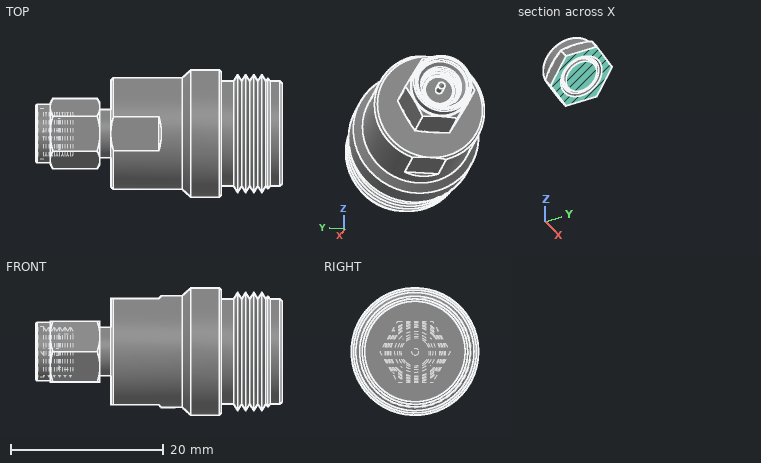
import cadquery as cq
import math


millimetres_per_inch = 25.4

nut_hex_start = 1.9
nut_end = 8.45
body_start = 9.87
body_end = 19.25
flange_start = 20.4
flange_end = 24.4
thread_start = 26.0
total_length = 32.4

nose_radius = 3.86
nose_chamfer = 0.2
stem_radius = 3.2
body_radius = 7.35
body_chamfer = 0.35
flange_diameter = 16.75
flange_radius = flange_diameter / 2
flange_chamfer = 0.3
barrel_radius = 6.92
barrel_chamfer = 0.32

barrel_threads_per_inch = 24
barrel_pitch = millimetres_per_inch / barrel_threads_per_inch
barrel_ridge_count = 4
barrel_crest_radius = 7.76
runout_width = 0.55
runout_crest_radius = 7.27

hex_across_flats = 8.0
hex_chamfer_angle = 30
hex_corner_radius = hex_across_flats / math.sqrt(3)
hex_face_radius = hex_across_flats / 2

flat_height = 7.0
flat_length = 6.3

mouth_radius = 3.5
mouth_lead_in = 0.3
bore_radius = 3.3
nut_thread_start = 1.0
nut_threads_per_inch = 36
nut_pitch = millimetres_per_inch / nut_threads_per_inch
nut_groove_count = 5
nut_crest_radius = 2.7
sleeve_radius = 2.33
insulator_radius = 2.04
insulator_chamfer = 0.2
plug_face = 3.0
pin_radius = 0.46
pin_tip_start = 0.65
pin_tip_length = 0.4


def revolve_about_x(points):
    """Solid of revolution of an (x, radius) outline around the X axis."""
    return cq.Workplane("XY").polyline(points).close().revolve(360, (0, 0, 0), (1, 0, 0))


def make_outer_shape():
    """Turned outside of the whole adapter, including the barrel thread ridges."""
    outline = [
        (0, 0),
        (0, nose_radius - nose_chamfer),
        (nose_chamfer, nose_radius),
        (nut_end, nose_radius),
        (nut_end, stem_radius),
        (body_start, stem_radius),
        (body_start, body_radius - body_chamfer),
        (body_start + body_chamfer, body_radius),
        (body_end, body_radius),
        (flange_start, flange_radius),
        (flange_end - flange_chamfer, flange_radius),
        (flange_end, flange_radius - flange_chamfer),
        (flange_end, barrel_radius),
    ]
    x = thread_start
    for _ in range(barrel_ridge_count):
        outline += [(x, barrel_radius), (x + barrel_pitch / 2, barrel_crest_radius)]
        x += barrel_pitch
    outline += [
        (x, barrel_radius),
        (x + runout_width / 2, runout_crest_radius),
        (x + runout_width, barrel_radius),
        (total_length - barrel_chamfer, barrel_radius),
        (total_length, barrel_radius - barrel_chamfer),
        (total_length, 0),
    ]
    return revolve_about_x(outline)


def make_nut_hexagon():
    """Hexagon with flats facing +Z and -Z and conically chamfered corners."""
    prism = (
        cq.Workplane("YZ", origin=(nut_hex_start, 0, 0))
        .polygon(6, 2 * hex_corner_radius)
        .extrude(nut_end - nut_hex_start)
    )
    drop = (hex_corner_radius - hex_face_radius) * math.tan(math.radians(hex_chamfer_angle))
    envelope = revolve_about_x([
        (nut_hex_start, 0),
        (nut_hex_start, hex_face_radius),
        (nut_hex_start + drop, hex_corner_radius),
        (nut_end - drop, hex_corner_radius),
        (nut_end, hex_face_radius),
        (nut_end, 0),
    ])
    return prism.intersect(envelope)


def make_flat_cutter(side):
    """Wrench flat on the +Z (side = 1) or -Z (side = -1) face, ending in a 45 degree ramp."""
    rise = flange_radius - flat_height
    end = body_start + flat_length
    return (
        cq.Workplane("XZ")
        .polyline([
            (body_start, side * flat_height),
            (end, side * flat_height),
            (end + rise, side * flange_radius),
            (body_start, side * flange_radius),
        ])
        .close()
        .extrude(body_radius, both=True)
    )


def make_plug_cavity():
    """Mouth, plain bore and V-grooved thread of the coupling nut.

    The cavity surrounds the sleeve, whose face is flush with the edge-chamfered insulator inside it.
    """
    half_pitch = nut_pitch / 2
    outline = [
        (0, 0),
        (0, mouth_radius),
        (mouth_lead_in, bore_radius),
        (nut_thread_start, bore_radius),
    ]
    x = nut_thread_start + half_pitch
    for _ in range(nut_groove_count):
        outline += [(x, nut_crest_radius), (x + half_pitch, bore_radius)]
        x += nut_pitch
    outline += [
        (x, nut_crest_radius),
        (x, sleeve_radius),
        (plug_face, sleeve_radius),
        (plug_face, insulator_radius),
        (plug_face + insulator_chamfer, insulator_radius),
        (plug_face, insulator_radius - insulator_chamfer),
        (plug_face, 0),
    ]
    return revolve_about_x(outline)


def make_center_pin():
    """Pointed pin standing on the insulator face."""
    return revolve_about_x([
        (pin_tip_start, 0),
        (pin_tip_start + pin_tip_length, pin_radius),
        (nut_end, pin_radius),
        (nut_end, 0),
    ])


adapter = make_outer_shape().union(make_nut_hexagon())
for flat_side in (1, -1):
    adapter = adapter.cut(make_flat_cutter(flat_side))
adapter = adapter.cut(make_plug_cavity()).union(make_center_pin())

result = adapter